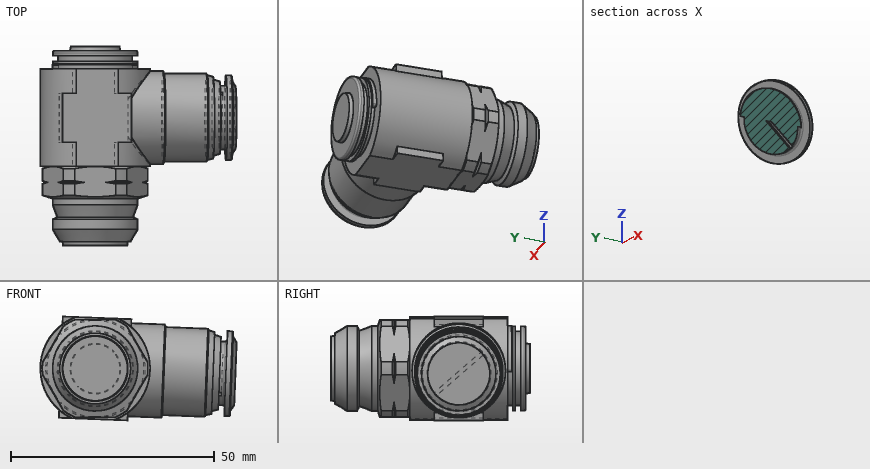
import cadquery as cq
import math

TILT = 2.2

BARREL_R = 13.5
BARREL_HALF = 12.0
PAD_HALF_HEIGHT = 12.5
PAD_LENGTH = 16.95
PAD_WIDTH = BARREL_HALF

NUT_FLATS = 23.9
NUT_CORNER_R = 13.0
NUT_FRONT = -19.95
NUT_FRONT_EDGE = 0.85
NUT_BACK_R = 11.9
NUT_BACK_EDGE = 0.55
NUT_GROOVE_Y = -15.92
NUT_GROOVE_DEPTH = 0.75
NUT_GROOVE_HALF = 0.4

SPIGOT_R = 10.5
SHOULDER_END = -21.45
WAIST_R = 9.35
WAIST_Y = -24.45
HEAD_START = -25.05
HEAD_END = -27.5
NOSE_R = 8.7
NOSE_Y = -30.5
TIP_BASE_R = 8.1
TIP_R = 7.95
TIP_Y = -31.45

CAP_R = 10.45
CAP_NECK_R = 9.15
COLLAR_R = 10.55
COLLAR_END = 13.0
COLLAR_BOTTOM = -0.8
COLLAR_ROUND = 0.55
RING_START = 13.3
RING_END = 13.9
FLANGE_START = 15.25
FLANGE_END = 16.5
FLANGE_ROUND = 0.5
BUTTON_BASE_R = 6.2
BUTTON_R = 6.05
BUTTON_END = 17.55

BRANCH_BODY = [
    (0, 11.5),
    (16.7, 11.5),
    (17.0, 10.9),
    (27.35, 10.9),
    (27.65, 10.5),
    (29.05, 10.1),
    (29.05, 9.45),
    (30.65, 8.95),
]

RELEASE_NECK_R = 7.9
RELEASE_FLARE = 0.5
RELEASE_FLANGE = [
    (32.2, 10.5),
    (33.4, 10.5),
    (33.65, 10.2),
    (33.65, 9.15),
    (34.6, 7.65),
]

SLIT_LENGTH = 0.55
SLIT_THICKNESS = 0.95
SLIT_ANGLE = 41


def turned_about_y(outline):
    """Turn a closed (radius, y) outline about the Y axis."""
    return outline.close().revolve(360, (0, 0, 0), (0, 1, 0))


def disc(radius, y_start, y_end):
    """Cylinder along Y between two places."""
    return cq.Workplane("XZ", origin=(0, y_start, 0)).circle(radius).extrude(y_start - y_end)


def make_barrel():
    """Barrel with two flats, each widened into a cross-shaped pad."""
    height = 2 * PAD_HALF_HEIGHT
    trim = cq.Workplane("XY").box(2 * BARREL_R, 2 * BARREL_HALF, height)
    barrel = disc(BARREL_R, -BARREL_HALF, BARREL_HALF).intersect(trim)
    pads = cq.Workplane("XY").box(PAD_LENGTH, PAD_WIDTH, height)
    return barrel.union(pads)


def make_branch():
    """Stepped branch with a flanged release sleeve at its end, along +X."""
    neck_start = BRANCH_BODY[-1][0]
    flange_start = RELEASE_FLANGE[0][0]
    flare_inset = RELEASE_FLARE * (1 - math.sqrt(0.5))
    outline = (
        cq.Workplane("XY")
        .moveTo(0, 0)
        .polyline(BRANCH_BODY, includeCurrent=True)
        .lineTo(neck_start, RELEASE_NECK_R)
        .lineTo(flange_start - RELEASE_FLARE, RELEASE_NECK_R)
        .threePointArc(
            (flange_start - flare_inset, RELEASE_NECK_R + flare_inset),
            (flange_start, RELEASE_NECK_R + RELEASE_FLARE),
        )
        .polyline(RELEASE_FLANGE, includeCurrent=True)
        .lineTo(RELEASE_FLANGE[-1][0], 0)
    )
    branch = outline.close().revolve(360, (0, 0, 0), (1, 0, 0))
    slit = (
        cq.Workplane("XY")
        .box(SLIT_LENGTH, 3 * RELEASE_NECK_R, SLIT_THICKNESS)
        .rotate((0, 0, 0), (1, 0, 0), SLIT_ANGLE)
        .translate((neck_start + SLIT_LENGTH / 2, 0, 0))
    )
    return branch.cut(slit)


def make_nut():
    """Hexagon with bevelled, rounded corners and a V groove round the middle."""
    back = -BARREL_HALF
    hexagon = (
        cq.Workplane("XZ", origin=(0, back, 0))
        .polygon(6, NUT_FLATS / math.cos(math.pi / 6))
        .extrude(back - NUT_FRONT)
    )
    envelope = turned_about_y(
        cq.Workplane("XY").polyline([
            (0, back),
            (NUT_BACK_R, back),
            (NUT_CORNER_R, back - NUT_BACK_EDGE),
            (NUT_CORNER_R, NUT_GROOVE_Y + NUT_GROOVE_HALF),
            (NUT_CORNER_R - NUT_GROOVE_DEPTH, NUT_GROOVE_Y),
            (NUT_CORNER_R, NUT_GROOVE_Y - NUT_GROOVE_HALF),
            (NUT_CORNER_R, NUT_FRONT + NUT_FRONT_EDGE),
            (SPIGOT_R, NUT_FRONT),
            (0, NUT_FRONT),
        ])
    )
    return hexagon.intersect(envelope)


def make_spigot():
    """Shoulder, tapered waist, conical head and short tip."""
    return turned_about_y(
        cq.Workplane("XY").polyline([
            (0, NUT_FRONT),
            (SPIGOT_R, NUT_FRONT),
            (SPIGOT_R, SHOULDER_END),
            (WAIST_R, WAIST_Y),
            (SPIGOT_R, HEAD_START),
            (SPIGOT_R, HEAD_END),
            (NOSE_R, NOSE_Y),
            (TIP_BASE_R, NOSE_Y),
            (TIP_R, TIP_Y),
            (0, TIP_Y),
        ])
    )


def make_cap():
    """Neck with a ring, a rounded flange, an end button and a half collar."""
    neck = disc(CAP_NECK_R, BARREL_HALF, FLANGE_START)
    ring = disc(CAP_R, RING_START, RING_END)
    flange = disc(CAP_R, FLANGE_START, FLANGE_END).faces(">Y").edges().fillet(FLANGE_ROUND)
    button = turned_about_y(
        cq.Workplane("XY").polyline([
            (0, FLANGE_END),
            (BUTTON_BASE_R, FLANGE_END),
            (BUTTON_R, BUTTON_END),
            (0, BUTTON_END),
        ])
    )
    keep = cq.Workplane("XY", origin=(0, 0, COLLAR_BOTTOM)).box(
        3 * COLLAR_R, 3 * COLLAR_END, 2 * COLLAR_R, centered=(True, True, False)
    )
    collar = disc(COLLAR_R, BARREL_HALF, COLLAR_END).intersect(keep)
    collar = collar.edges("|Y").fillet(COLLAR_ROUND)
    return neck.union(ring).union(flange).union(button).union(collar)


elbow = make_barrel().union(make_branch()).rotate((0, 0, 0), (0, 1, 0), TILT)
result = elbow.union(make_nut()).union(make_spigot()).union(make_cap())